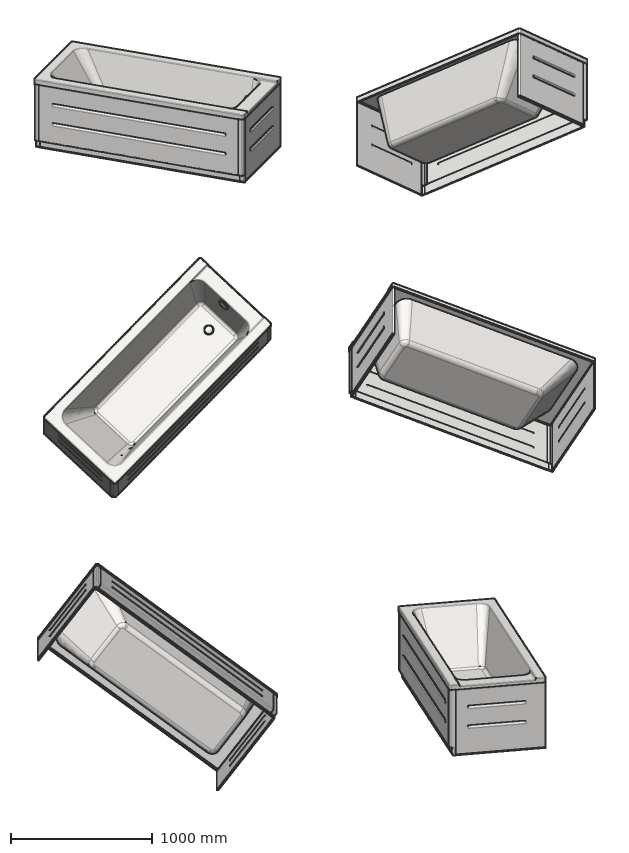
import cadquery as cq
import math

LENGTH = 1600.0
WIDTH = 700.0
HEIGHT = 538.0

SKIRT_HEIGHT = 40.0
RIM_CORNER_RADIUS = 13.0
RIM_EDGE_FILLET = 5.0
WALL = 13.0

BASIN_DEPTH = 385.0
OPENING_LEFT = 72.0
OPENING_RIGHT = 107.0
OPENING_HALF_WIDTH = 277.0
OPENING_RADIUS = 77.0
FLOOR_LEFT = 340.0
FLOOR_RIGHT = 163.0
FLOOR_HALF_WIDTH = 190.0
FLOOR_RADIUS = 38.0
FLOOR_FILLET = 27.0
DECK_DROP = 13.0

PANEL_INSET = 2.0
POST_INSET = 3.0
FRONT_PANEL_MARGIN = 38.0
END_PANEL_MARGIN = 46.0
KICK_HEIGHT = 58.4
KICK_DEPTH = 22.0
KICK_FILLET = 6.0
BACK_EDGE_FILLET = 10.0
TOE_HEIGHT = 10.0
TOE_DEPTH = 3.0
PANEL_EDGE_FILLET = 5.0
POST_CORNER_RADIUS = 10.0

GROOVE_DIAMETER = 20.0
GROOVE_EDGE_FILLET = 3.0
GROOVE_HEIGHTS = (211.0, 360.0)
FRONT_GROOVE_LENGTH = 1325.0
FRONT_GROOVE_X = 2.0
END_GROOVE_LENGTH = 421.0
END_GROOVE_Y = -5.0

DRAIN_X = 523.0
DRAIN_DIAMETER = 67.0
DRAIN_DOME_DIAMETER = 60.0
DRAIN_THICKNESS = 6.0
DOME_HEIGHT = 6.0
OVERFLOW_DIAMETER = 80.0
OVERFLOW_DOME_DIAMETER = 75.0
OVERFLOW_DEPTH = 67.0
OVERFLOW_THICKNESS = 15.0

END_X = LENGTH / 2
SIDE_Y = WIDTH / 2
SKIRT_BOTTOM = HEIGHT - SKIRT_HEIGHT
POST_BACK_Y = -SIDE_Y + END_PANEL_MARGIN
FLOOR_Z = HEIGHT - BASIN_DEPTH
DECK_Z = HEIGHT - DECK_DROP
SIDE_WALL_SLOPE = (OPENING_HALF_WIDTH - FLOOR_HALF_WIDTH) / BASIN_DEPTH
TOLERANCE = 0.2
CUT = 16.0


def box(x_range, y_range, z_range):
    """A box given by its limits along each axis."""
    limits = (x_range, y_range, z_range)
    sizes = [high - low for low, high in limits]
    corner = [low for low, high in limits]
    return cq.Workplane("XY").box(*sizes, centered=False).translate(tuple(corner))


def basin_section(z, growth):
    """Edges, in order, of the basin's rounded rectangle at height z, grown outward."""
    share = (HEIGHT - z) / BASIN_DEPTH
    left = -END_X + OPENING_LEFT + share * (FLOOR_LEFT - OPENING_LEFT) - growth
    right = END_X - OPENING_RIGHT - share * (FLOOR_RIGHT - OPENING_RIGHT) + growth
    half_width = OPENING_HALF_WIDTH + share * (FLOOR_HALF_WIDTH - OPENING_HALF_WIDTH) + growth
    radius = OPENING_RADIUS + share * (FLOOR_RADIUS - OPENING_RADIUS) + growth
    centers = (
        (right - radius, half_width - radius),
        (left + radius, half_width - radius),
        (left + radius, radius - half_width),
        (right - radius, radius - half_width),
    )
    arcs = []
    for number, (x, y) in enumerate(centers):
        points = []
        for step in (0, 0.5, 1):
            angle = (number + step) * math.pi / 2
            points.append(cq.Vector(x + radius * math.cos(angle), y + radius * math.sin(angle), z))
        arcs.append(cq.Edge.makeThreePointArc(*points))
    edges = []
    for number, arc in enumerate(arcs):
        next_arc = arcs[(number + 1) % len(arcs)]
        edges += [arc, cq.Edge.makeLine(arc.endPoint(), next_arc.startPoint())]
    return edges


def basin(bottom_z, top_z, growth):
    """Block with flat sloping walls, tapering round corners and a rounded foot."""
    lower_edges = basin_section(bottom_z, growth)
    upper_edges = basin_section(top_z, growth)
    faces = []
    for edges in (lower_edges, upper_edges):
        faces.append(cq.Face.makeFromWires(cq.Wire.assembleEdges(edges)))
    for lower, upper in zip(lower_edges, upper_edges):
        if lower.geomType() == "LINE":
            corners = (lower.startPoint(), lower.endPoint(), upper.endPoint(), upper.startPoint())
            faces.append(cq.Face.makeFromWires(cq.Wire.makePolygon(corners, close=True)))
        else:
            faces.append(cq.Face.makeRuledSurface(lower, upper))
    block = cq.Workplane(cq.Solid.makeSolid(cq.Shell.makeShell(faces)).fix())
    return block.faces("<Z").edges().fillet(FLOOR_FILLET + growth)


def make_tub():
    rim = box((-END_X, END_X), (-SIDE_Y, SIDE_Y), (SKIRT_BOTTOM, HEIGHT))
    rim = rim.edges("|Z").fillet(RIM_CORNER_RADIUS)
    underside = box(
        (-END_X + WALL, END_X - WALL),
        (-SIDE_Y + WALL, SIDE_Y - WALL),
        (SKIRT_BOTTOM - CUT, DECK_Z - WALL),
    )
    deck_edge_y = OPENING_HALF_WIDTH - DECK_DROP * SIDE_WALL_SLOPE
    deck = (
        cq.Workplane("YZ")
        .moveTo(-OPENING_HALF_WIDTH, HEIGHT)
        .lineTo(-deck_edge_y, DECK_Z)
        .lineTo(deck_edge_y, DECK_Z)
        .lineTo(OPENING_HALF_WIDTH, HEIGHT)
        .close()
        .extrude(LENGTH)
    )
    shell = rim.cut(underside).union(basin(FLOOR_Z - WALL, DECK_Z - WALL / 2, WALL))
    tub = shell.cut(basin(FLOOR_Z, HEIGHT, 0).union(deck))
    tub = tub.faces(">Z").edges().fillet(RIM_EDGE_FILLET)
    deck_middle = (END_X - OPENING_RIGHT / 2, 0, DECK_Z)
    deck_face = cq.selectors.NearestToPointSelector(deck_middle)
    return tub.faces(deck_face).edges().fillet(RIM_EDGE_FILLET)


def kick_block(face_y, x_range):
    """Block between x limits whose -Y face steps back above the floor, with a rounded ledge."""
    kick_y = face_y + KICK_DEPTH
    outline = (
        (POST_BACK_Y, 0),
        (POST_BACK_Y, SKIRT_BOTTOM),
        (face_y, SKIRT_BOTTOM),
        (face_y, KICK_HEIGHT),
        (kick_y, KICK_HEIGHT),
        (kick_y, 0),
    )
    start, end = x_range
    block = cq.Workplane("YZ").polyline(outline).close().extrude(end - start)
    block = block.translate((start, 0, 0))
    for y in (face_y, kick_y):
        ledge_edge = cq.selectors.NearestToPointSelector(((start + end) / 2, y, KICK_HEIGHT))
        block = block.edges(ledge_edge).fillet(KICK_FILLET)
    return block


def kick_back(face_y, x_range):
    """Space behind a stepped plate of wall thickness."""
    upper_y = face_y + WALL
    lower_y = upper_y + KICK_DEPTH
    ledge_z = KICK_HEIGHT + WALL
    back_y = POST_BACK_Y + CUT
    upper = box(x_range, (upper_y, back_y), (ledge_z, SKIRT_BOTTOM + CUT))
    return upper.union(box(x_range, (lower_y, back_y), (-CUT, ledge_z)))


def cut_grooves(plate, face_y, middle_x, length):
    """Cut the two half-round grooves, with softened edges, into a face toward -Y."""
    radius = GROOVE_DIAMETER / 2
    half_straight = length / 2 - radius
    for z in GROOVE_HEIGHTS:
        bar = cq.Workplane("YZ").circle(radius).extrude(half_straight, both=True)
        for x in (-half_straight, half_straight):
            bar = bar.union(cq.Workplane("XY").sphere(radius).translate((x, 0, 0)))
        plate = plate.cut(bar.translate((middle_x, face_y, z)))
        reach = length / 2 + CUT
        mouth = cq.selectors.BoxSelector(
            (middle_x - reach, face_y - TOLERANCE, z - GROOVE_DIAMETER),
            (middle_x + reach, face_y + TOLERANCE, z + GROOVE_DIAMETER),
        )
        plate = plate.edges(mouth).fillet(GROOVE_EDGE_FILLET)
    return plate


def bevel_toe(plate):
    """Bevel the bottom edge on the -Y side of a plate."""
    front_y = plate.faces("<Z").edges("<Y").val().Center().y
    wedge = (
        cq.Workplane("YZ")
        .moveTo(front_y, 0)
        .lineTo(front_y + TOE_DEPTH, 0)
        .lineTo(front_y, TOE_HEIGHT)
        .close()
        .extrude(END_X, both=True)
    )
    return plate.cut(wedge)


def make_front_panel():
    face_y = -SIDE_Y + PANEL_INSET
    x_range = (-END_X + FRONT_PANEL_MARGIN, END_X - FRONT_PANEL_MARGIN)
    panel = kick_block(face_y, x_range).cut(kick_back(face_y, x_range))
    panel = panel.faces(">Z").edges("<Y").fillet(PANEL_EDGE_FILLET)
    panel = bevel_toe(panel)
    return cut_grooves(panel, face_y, FRONT_GROOVE_X, FRONT_GROOVE_LENGTH)


def make_left_post():
    """Corner post at the -X end: an L in plan, stepping back at the kick space."""
    face_y = -SIDE_Y + POST_INSET
    face_x = -END_X + POST_INSET
    post = kick_block(face_y, (face_x, -END_X + FRONT_PANEL_MARGIN))
    post = post.edges("|Z and <X and <Y").fillet(POST_CORNER_RADIUS)
    post = bevel_toe(post)
    return post.cut(kick_back(face_y, (face_x + WALL, 0)))


def make_left_end_panel():
    """Built lying along X with its face toward -Y, then turned to face -X."""
    length = SIDE_Y - POST_BACK_Y
    panel = box((-length, 0), (0, WALL), (0, SKIRT_BOTTOM))
    panel = panel.edges("|Z and <X and <Y").fillet(BACK_EDGE_FILLET)
    panel = panel.edges("|Z and >X and <Y").fillet(PANEL_EDGE_FILLET)
    panel = panel.faces(">Z").edges("<Y").fillet(PANEL_EDGE_FILLET)
    panel = bevel_toe(panel)
    panel = cut_grooves(panel, 0, POST_BACK_Y - END_GROOVE_Y, END_GROOVE_LENGTH)
    panel = panel.rotate((0, 0, 0), (0, 0, 1), -90)
    return panel.translate((-END_X + PANEL_INSET, POST_BACK_Y, 0))


def domed_disc(diameter, thickness, dome_diameter, dome_height):
    """Disc on the XY plane with a shallow dome on top."""
    dome_radius = dome_diameter / 2
    sphere_radius = (dome_radius**2 + dome_height**2) / (2 * dome_height)
    sphere = cq.Workplane("XY").sphere(sphere_radius)
    sphere = sphere.translate((0, 0, thickness + dome_height - sphere_radius))
    dome = cq.Workplane("XY").circle(dome_radius).extrude(thickness + dome_height).intersect(sphere)
    return cq.Workplane("XY").circle(diameter / 2).extrude(thickness).union(dome)


def make_drain():
    disc = domed_disc(DRAIN_DIAMETER, DRAIN_THICKNESS, DRAIN_DOME_DIAMETER, DOME_HEIGHT)
    return disc.translate((DRAIN_X, 0, FLOOR_Z))


def make_overflow():
    """Domed disc standing square on the sloping wall at the drain end."""
    wall_slope = (FLOOR_RIGHT - OPENING_RIGHT) / BASIN_DEPTH
    wall_x = END_X - OPENING_RIGHT - OVERFLOW_DEPTH * wall_slope
    tilt = math.degrees(math.atan(wall_slope))
    disc = domed_disc(OVERFLOW_DIAMETER, OVERFLOW_THICKNESS, OVERFLOW_DOME_DIAMETER, DOME_HEIGHT)
    disc = disc.rotate((0, 0, 0), (0, 1, 0), tilt - 90)
    return disc.translate((wall_x, 0, HEIGHT - OVERFLOW_DEPTH))


tub = make_tub()
front_panel = make_front_panel()
left_post = make_left_post()
right_post = left_post.mirror("YZ")
left_end_panel = make_left_end_panel()
right_end_panel = left_end_panel.mirror("YZ")
drain = make_drain()
overflow = make_overflow()

result = cq.Compound.makeCompound(
    [
        tub.val(),
        front_panel.val(),
        left_post.val(),
        right_post.val(),
        left_end_panel.val(),
        right_end_panel.val(),
        drain.val(),
        overflow.val(),
    ]
)